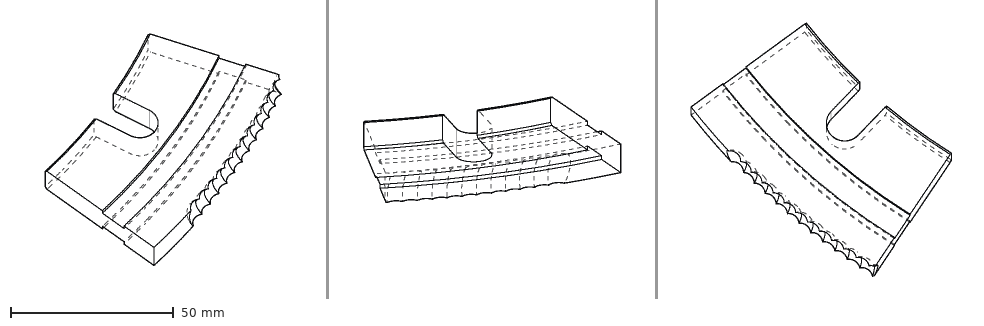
import cadquery as cq
import math

outer_radius = 219.5
inner_radius = 175.0
thickness = 9.5
sector_angle = 20.0
inner_chamfer = 0.75

channel_inner_radius = 198.4
channel_outer_radius = 207.25
channel_depth = 1.3

slot_width = 11.2
slot_center_radius = 187.9

rim_tooth_count = 293
tooth_pitch_angle = 360 / rim_tooth_count
first_space_angle = 5.6
space_root_radius = 216.45
cutter_radius = 7.9
cutter_edge_radius = 3.9
half_thickness = thickness / 2
tooth_pitch = outer_radius * math.radians(tooth_pitch_angle)
skew_slope = (tooth_pitch / 2) / thickness


def revolve_sector(section):
    """Sweep an XZ section around the Z axis through the sector angle."""
    return section.close().revolve(sector_angle, (0, 0, 0), (0, 1, 0))


def make_sector():
    chamfer_radius = inner_radius + inner_chamfer
    chamfer_height = half_thickness - inner_chamfer
    section = cq.Workplane("XZ").polyline(
        [
            (inner_radius, -chamfer_height),
            (chamfer_radius, -half_thickness),
            (outer_radius, -half_thickness),
            (outer_radius, half_thickness),
            (chamfer_radius, half_thickness),
            (inner_radius, chamfer_height),
        ]
    )
    return revolve_sector(section)


def make_channel(side):
    """Channel cutter for the top (side = 1) or bottom (side = -1) face."""
    floor = side * (half_thickness - channel_depth)
    above_face = side * (half_thickness + channel_depth)
    section = cq.Workplane("XZ").polyline(
        [
            (channel_inner_radius, floor),
            (channel_outer_radius, floor),
            (channel_outer_radius, above_face),
            (channel_inner_radius, above_face),
        ]
    )
    return revolve_sector(section)


def make_slot():
    slot_start_radius = inner_radius - 2 * slot_width
    center_distance = slot_center_radius - slot_start_radius
    slot = (
        cq.Workplane("XY")
        .center((slot_start_radius + slot_center_radius) / 2, 0)
        .slot2D(center_distance + slot_width, slot_width)
        .extrude(half_thickness, both=True)
    )
    return slot.rotate((0, 0, 0), (0, 0, 1), sector_angle / 2)


def make_tooth_space(angle):
    """Rounded, skewed space left by a round-edged disc at a given angle."""
    disc = cq.Solid.makeTorus(
        cutter_radius - cutter_edge_radius,
        cutter_edge_radius,
        cq.Vector(space_root_radius + cutter_radius, 0, 0),
        cq.Vector(0, 1, skew_slope),
    )
    return disc.rotate(cq.Vector(0, 0, 0), cq.Vector(0, 0, 1), angle)


result = make_sector().cut(make_slot())
for face_side in (1, -1):
    result = result.cut(make_channel(face_side))

space_count = math.ceil((sector_angle - first_space_angle) / tooth_pitch_angle) + 1
for index in range(space_count):
    result = result.cut(make_tooth_space(first_space_angle + index * tooth_pitch_angle))